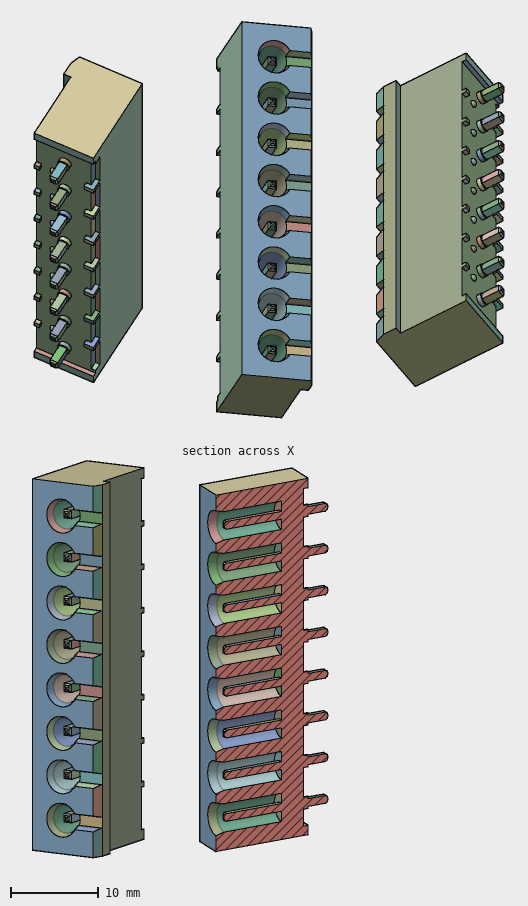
import cadquery as cq
import math


pin_count = 8
pitch = 5.08
width = 8.6
depth = 12.0
end_margin = 3.94
length = (pin_count - 1) * pitch + 2 * end_margin
end_wall = 1.2
recess_depth = 0.55

lip_overhang = 0.92
lip_depth = 3.0
lip_chamfer_x = 0.46
lip_chamfer_y = 1.31

socket_radius = 1.7
socket_mouth_radius = 1.98
socket_mouth_depth = 1.03
socket_floor = 3.5

notch_mouth_width = 1.84
notch_floor_width = 1.32
notch_depth = lip_chamfer_y

relief_width = 0.58
relief_depth = 1.0
relief_end_gap = 1.7

foot_height = 0.6
left_foot_width = 0.68
right_foot_width = 1.24
dome_x = 3.16
dome_radius = 0.42

pin_x = 4.69
pin_side = 1.0
pin_length = 2.6
pin_mating_end = depth - socket_mouth_depth
tip_taper_length = 0.24
tip_taper_inset = 0.17
tip_crown_length = 0.09
tip_crown_inset = 0.22
pin_tip_length = tip_taper_length + tip_crown_length
collar_diameter = 1.5

pin_positions = [(i - (pin_count - 1) / 2) * pitch for i in range(pin_count)]
gap_positions = [(low + high) / 2 for low, high in zip(pin_positions, pin_positions[1:])]


def block(x_start, x_end, y_start, y_end, z_center, height):
    """Box spanning the given X and Y ranges, centred on z_center."""
    size_x = x_end - x_start
    size_y = y_end - y_start
    box = cq.Workplane("XY").box(size_x, size_y, height, centered=(False, False, True))
    return box.translate((x_start, y_start, z_center))


def turned_about_y(profile, x, z):
    """Solid of revolution about a Y-parallel axis, from (radial offset, y) profile points."""
    solid = cq.Workplane("XY").polyline(profile).close().revolve(360, (0, 0), (0, 1))
    return solid.translate((x, 0, z))


def make_housing():
    outline = [
        (lip_overhang, 0),
        (width, 0),
        (width, depth),
        (lip_chamfer_x, depth),
        (0, depth - lip_chamfer_y),
        (0, depth - lip_depth),
        (lip_overhang, depth - lip_depth),
    ]
    housing = cq.Workplane("XY").polyline(outline).close().extrude(length / 2, both=True)
    recess = block(lip_overhang, width, 0, recess_depth, 0, length - 2 * end_wall)
    relief_end = recess_depth + relief_depth
    relief_length = length - 2 * relief_end_gap
    relief = block(width - relief_width, width, recess_depth, relief_end, 0, relief_length)
    return housing.cut(recess).cut(relief)


def make_socket(z):
    profile = [
        (0, socket_floor),
        (socket_radius, socket_floor),
        (socket_radius, depth - socket_mouth_depth),
        (socket_mouth_radius, depth),
        (0, depth),
    ]
    return turned_about_y(profile, pin_x, z)


def make_notch(z):
    outline = [
        (depth, notch_mouth_width / 2),
        (depth - socket_mouth_depth, notch_floor_width / 2),
        (depth - notch_depth, notch_floor_width / 2),
        (depth - notch_depth, -notch_floor_width / 2),
        (depth - socket_mouth_depth, -notch_floor_width / 2),
        (depth, -notch_mouth_width / 2),
    ]
    return cq.Workplane("YZ").polyline(outline).close().extrude(pin_x).translate((0, 0, z))


def make_feet(z):
    left = block(lip_overhang, lip_overhang + left_foot_width, 0, recess_depth, z, foot_height)
    right = block(width - right_foot_width, width, 0, recess_depth + relief_depth, z, foot_height)
    return left.union(right)


def make_dome(z):
    half_disc = cq.Workplane("XY").moveTo(-dome_radius, 0)
    half_disc = half_disc.threePointArc((0, -dome_radius), (dome_radius, 0)).close()
    return half_disc.revolve(360, (0, 0), (1, 0)).translate((dome_x, recess_depth, z))


def make_collar(z):
    radius = collar_diameter / 2
    profile = [(0, 0), (radius, 0), (radius, recess_depth), (0, recess_depth)]
    return turned_about_y(profile, pin_x, z)


def tapered_square(side, height, inset):
    """Square frustum growing toward -Y from Y = 0, each side drawn in by inset at its end."""
    angle = math.degrees(math.atan2(inset, height))
    return cq.Workplane("XZ").rect(side, side).extrude(height, taper=angle)


def make_pin_tip():
    """Steep taper followed by a shallow crown, pointing toward -Y from Y = 0."""
    taper = tapered_square(pin_side, tip_taper_length, tip_taper_inset)
    crown_side = pin_side - 2 * tip_taper_inset
    crown = tapered_square(crown_side, tip_crown_length, tip_crown_inset)
    return taper.union(crown.translate((0, -tip_taper_length, 0)))


def make_pin(z):
    half_side = pin_side / 2
    shank_start = -pin_length + pin_tip_length
    shank_end = pin_mating_end - pin_tip_length
    shank = block(pin_x - half_side, pin_x + half_side, shank_start, shank_end, z, pin_side)
    solder_tip = make_pin_tip()
    mating_tip = solder_tip.mirror("XZ")
    shank = shank.union(solder_tip.translate((pin_x, shank_start, z)))
    return shank.union(mating_tip.translate((pin_x, shank_end, z)))


result = make_housing()
for z in pin_positions:
    result = result.cut(make_socket(z)).cut(make_notch(z))
    result = result.union(make_collar(z)).union(make_pin(z))
for z in gap_positions:
    result = result.union(make_feet(z)).union(make_dome(z))